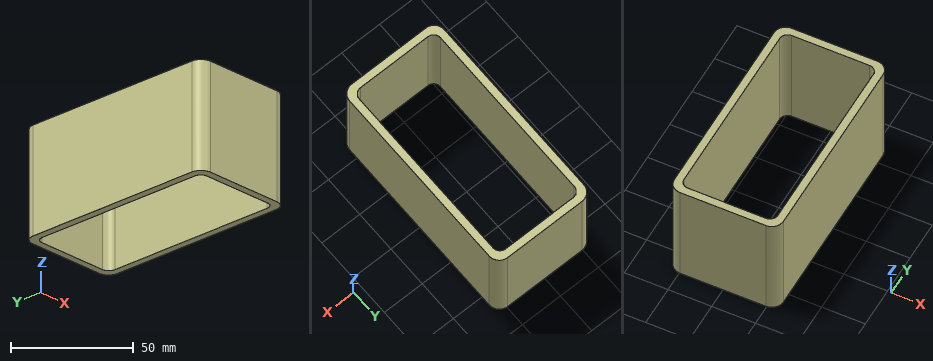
import cadquery as cq

length = 100.0
width = length / 2
height = width
wall = 3.6
outer_radius = 5.4
inner_radius = 3.6


def rounded_block(size_x, size_y, corner_radius):
    """Full-height block with its four upright edges rounded."""
    block = cq.Workplane("XY").rect(size_x, size_y).extrude(height)
    return block.edges("|Z").fillet(corner_radius)


outer_body = rounded_block(width, length, outer_radius)
bore = rounded_block(width - 2 * wall, length - 2 * wall, inner_radius)

result = outer_body.cut(bore)